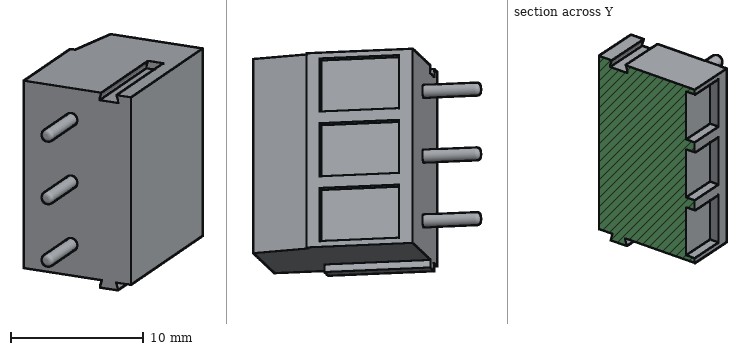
import cadquery as cq

pole_count = 3
pole_pitch = 5.0
housing_width = 9.0
housing_height = pole_count * pole_pitch
overall_length = 17.0
pin_length = 4.4
housing_length = overall_length - pin_length

step_length = 8.2
step_inset = 0.4
back_inset = 1.28

pin_diameter = 1.0
pin_tip_radius = 0.3
pin_x = 4.0
pin_root_depth = 0.34

pocket_length = 6.14
pocket_height = 4.1
pocket_front_wall = 1.07
pocket_depth = 0.8

dovetail_x = 7.14
dovetail_length = step_length
dovetail_depth = 0.61
dovetail_lip = 0.15
rail_neck_width = 1.2
rail_wide_width = 1.5
groove_clearance = 0.03


def pole_z(index):
    """Height of the centre of one pole."""
    return (index + 0.5) * pole_pitch


def make_housing():
    return (
        cq.Workplane("XY")
        .polyline([
            (0, 0),
            (housing_width, 0),
            (housing_width, housing_length),
            (back_inset, housing_length),
            (step_inset, step_length),
            (0, step_length),
        ])
        .close()
        .extrude(housing_height)
    )


def make_dovetail(face_z, clearance):
    """Dovetail hanging below face_z, flaring downward to a short straight lip."""
    neck_half = rail_neck_width / 2 + clearance
    wide_half = rail_wide_width / 2 + clearance
    lip_z = face_z - dovetail_depth + dovetail_lip
    bottom_z = face_z - dovetail_depth
    return (
        cq.Workplane("XZ")
        .polyline([
            (dovetail_x - neck_half, face_z),
            (dovetail_x - wide_half, lip_z),
            (dovetail_x - wide_half, bottom_z),
            (dovetail_x + wide_half, bottom_z),
            (dovetail_x + wide_half, lip_z),
            (dovetail_x + neck_half, face_z),
        ])
        .close()
        .extrude(-dovetail_length)
    )


def make_pocket(z):
    return (
        cq.Workplane("XY")
        .box(pocket_depth, pocket_length, pocket_height, centered=(False, False, True))
        .translate((0, pocket_front_wall, z))
    )


def make_pin(z):
    """Round pin with a rounded tip, rooted a little way inside the housing."""
    return (
        cq.Workplane("XZ", origin=(pin_x, pin_root_depth, z))
        .circle(pin_diameter / 2)
        .extrude(pin_root_depth + pin_length)
        .faces("<Y")
        .edges()
        .fillet(pin_tip_radius)
    )


result = make_housing()
result = result.cut(make_dovetail(housing_height, groove_clearance))
result = result.union(make_dovetail(0, 0))
for pole in range(pole_count):
    result = result.cut(make_pocket(pole_z(pole)))
    result = result.union(make_pin(pole_z(pole)))